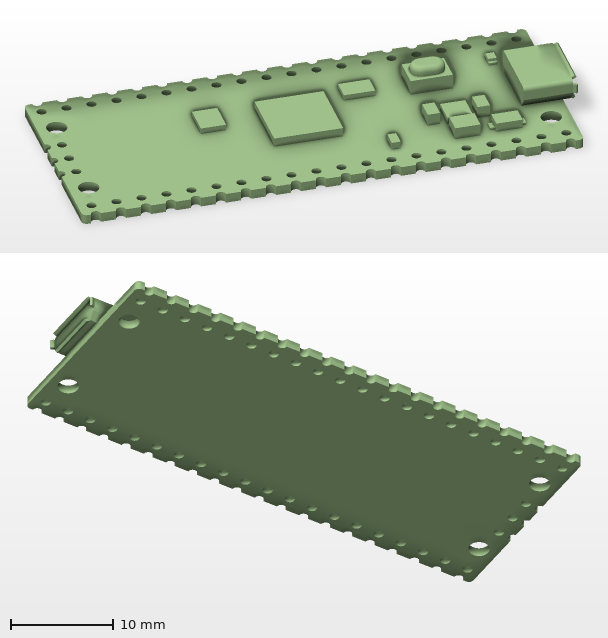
import cadquery as cq

overall_length = 52.3

board_width = 21.0
board_length = 51.0
board_thickness = 1.0
board_corner_radius = 0.5
half_width = board_width / 2
half_length = board_length / 2

mount_hole_diameter = 2.1
mount_ring_diameter = 3.8
mount_x = 5.7
mount_edge_inset = 2.0
mount_y = half_length - mount_edge_inset

pad_count = 20
pad_row_span = 48.25
pad_pitch = pad_row_span / (pad_count - 1)
pad_hole_diameter = 1.0
pad_hole_inset = 1.6
pad_width = 1.6
pad_length = pad_hole_inset + pad_width / 2
square_pad_first = 2
square_pad_step = 5
end_pad_count = 3

usb_width = 7.5
usb_top_z = 3.5
usb_overhang = 0.8
usb_length = 5.0
usb_corner_radius = 0.4
usb_waist_z = 2.1
usb_waist_drop = 0.3
usb_waist_inset = 0.15
usb_bottom_half = 2.95
usb_front_y = half_length + usb_overhang
lip_rise = 0.2
lip_run = 0.3
lip_reach = overall_length - board_length - usb_overhang
lip_end_gap = 0.15

button_x = -3.55
button_y = 13.55
button_width = 3.2
button_length = 4.3
button_height = 1.55
button_cap_width = 2.3
button_cap_length = 3.5
button_cap_height = 0.95
button_cap_rounding = 0.5

components = {
    "microcontroller": (0, -0.5, 7.0, 7.0, 0.95),
    "flash memory": (-2.3, -9.0, 3.2, 2.55, 0.65),
    "crystal": (-3.75, 6.45, 2.15, 3.2, 0.65),
    "resistor": (6.4, 7.3, 1.6, 0.9, 0.8),
    "regulator": (2.95, 14.65, 2.55, 2.55, 0.8),
    "inductor": (5.95, 14.65, 2.15, 2.55, 1.25),
    "upper capacitor": (2.95, 17.15, 2.0, 1.25, 1.25),
    "lower capacitor": (2.95, 12.1, 2.0, 1.25, 1.25),
    "diode body": (5.95, 18.95, 1.8, 2.65, 0.95),
    "diode leads": (5.95, 18.95, 0.9, 3.65, 0.25),
    "light base": (-5.8, 20.65, 1.65, 0.9, 0.25),
    "light lens": (-5.8, 20.65, 1.05, 0.9, 0.6),
}


def box_on_board(x, y, size_x, size_y, height):
    """A block standing on the top face of the board."""
    base = cq.Workplane("XY", origin=(x, y, board_thickness))
    return base.box(size_x, size_y, height, centered=(True, True, False))


def pad_at_edge(square):
    """A pad reaching from the origin along -X, drilled at its far end and on the edge."""
    if square:
        pad = cq.Workplane("XY").center(-pad_length / 2, 0).rect(pad_length, pad_width)
    else:
        pad = (
            cq.Workplane("XY")
            .moveTo(0, -pad_width / 2)
            .lineTo(-pad_hole_inset, -pad_width / 2)
            .threePointArc((-pad_length, 0), (-pad_hole_inset, pad_width / 2))
            .lineTo(0, pad_width / 2)
            .close()
        )
    return pad.extrude(board_thickness)


def pad_drills():
    """The through hole and the edge half hole of a pad, as cutters."""
    centers = [(0, 0), (-pad_hole_inset, 0)]
    return cq.Workplane("XY").pushPoints(centers).circle(pad_hole_diameter / 2).extrude(board_thickness)


def pad_places():
    """Edge position, outward direction in degrees and squareness of every pad."""
    places = []
    for index in range(pad_count):
        y = pad_row_span / 2 - index * pad_pitch
        square = index % square_pad_step == square_pad_first
        places.append((-half_width, y, 180, square))
        places.append((half_width, y, 0, square))
    middle = end_pad_count // 2
    for index in range(end_pad_count):
        places.append(((index - middle) * pad_pitch, -half_length, -90, index == middle))
    return places


def moved_to_edge(shape, x, y, angle):
    return shape.rotate((0, 0, 0), (0, 0, 1), angle).translate((x, y, 0))


def make_board():
    """Drilled board whose flush pads and rings stay outlined on its faces."""
    blank = cq.Workplane("XY").rect(board_width, board_length).extrude(board_thickness)
    blank = blank.edges("|Z").fillet(board_corner_radius)

    mounts = cq.Workplane("XY").rect(2 * mount_x, 2 * mount_y, forConstruction=True).vertices()
    copper = mounts.circle(mount_ring_diameter / 2).extrude(board_thickness)
    drills = mounts.circle(mount_hole_diameter / 2).extrude(board_thickness)
    for x, y, angle, square in pad_places():
        copper = copper.add(moved_to_edge(pad_at_edge(square), x, y, angle))
        drills = drills.add(moved_to_edge(pad_drills(), x, y, angle))

    copper = cq.Workplane(cq.Compound.makeCompound(copper.vals()))
    drills = cq.Workplane(cq.Compound.makeCompound(drills.vals()))
    laminate = blank.cut(copper, clean=False)
    return laminate.union(copper, clean=False).cut(drills, clean=False)


def make_usb_shell():
    """Connector shell: rounded top corners and sides tapering in towards the board."""
    right_side = [
        (usb_bottom_half, board_thickness),
        (usb_width / 2 - usb_waist_inset, usb_waist_z - usb_waist_drop),
        (usb_width / 2, usb_waist_z),
        (usb_width / 2, usb_top_z),
    ]
    left_side = [(-x, z) for x, z in reversed(right_side)]
    section = cq.Workplane("XZ", origin=(0, usb_front_y, 0)).polyline(right_side + left_side).close()
    shell = section.extrude(usb_length)
    return shell.faces(">Z").edges("|Y").fillet(usb_corner_radius)


def make_lip(middle, outward, length):
    """A flared lip bent away from the connector mouth in the outward direction."""
    forward = cq.Vector(0, 1, 0)
    outward = cq.Vector(*outward)
    outline = [
        (0, 0),
        (lip_run, lip_rise),
        (lip_reach, 0),
        (lip_reach - lip_run, -lip_rise),
        (0, -lip_rise),
    ]
    section = cq.Workplane(cq.Plane(middle, forward, forward.cross(outward))).polyline(outline).close()
    return section.extrude(length / 2, both=True)


def make_usb_connector():
    side_x = usb_width / 2
    shoulder_z = usb_top_z - usb_corner_radius
    side_z = (shoulder_z + usb_waist_z) / 2
    side_length = shoulder_z - usb_waist_z
    top_length = 2 * (side_x - usb_corner_radius - lip_end_gap)
    bottom_length = 2 * (usb_bottom_half - lip_end_gap)

    connector = make_usb_shell()
    connector = connector.union(make_lip((0, usb_front_y, usb_top_z), (0, 0, 1), top_length))
    connector = connector.union(make_lip((0, usb_front_y, board_thickness), (0, 0, -1), bottom_length))
    for side in (-1, 1):
        middle = (side * side_x, usb_front_y, side_z)
        connector = connector.union(make_lip(middle, (side, 0, 0), side_length))
    return connector


def make_button():
    """Push button: a square-edged body with an oblong cap rounded along its top."""
    body = box_on_board(button_x, button_y, button_width, button_length, button_height)
    cap = (
        cq.Workplane("XY", origin=(button_x, button_y, board_thickness + button_height))
        .slot2D(button_cap_length, button_cap_width, 90)
        .extrude(button_cap_height)
        .faces(">Z")
        .edges()
        .fillet(button_cap_rounding)
    )
    return body.union(cap)


result = make_board()
result = result.union(make_usb_connector(), clean=False)
result = result.union(make_button(), clean=False)
for placement in components.values():
    result = result.union(box_on_board(*placement), clean=False)